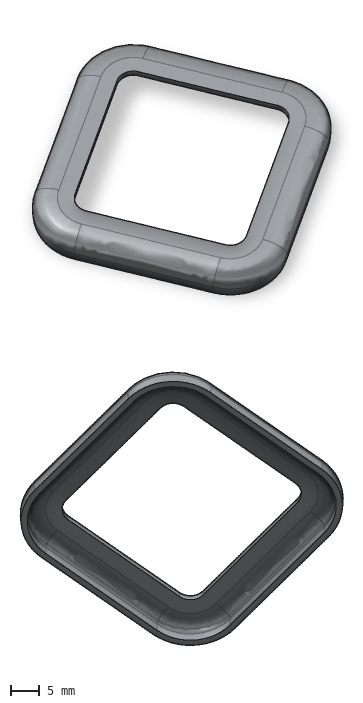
import cadquery as cq
import math

LENGTH_X = 45.45
LENGTH_Y = 45.6
HEIGHT = 4.85
RIM_WIDTH = 7.25

OPENING_X = LENGTH_X - 2 * RIM_WIDTH
OPENING_Y = LENGTH_Y - 2 * RIM_WIDTH
OPENING_RADIUS = 2.9
STRAIGHT_X = OPENING_X / 2 - OPENING_RADIUS
STRAIGHT_Y = OPENING_Y / 2 - OPENING_RADIUS

WALL = 1.25
SHOULDER_WIDTH = 4.35
SHOULDER_HEIGHT = 2.9
WAIST_HEIGHT = HEIGHT - SHOULDER_HEIGHT
FOOT_INSET = 0.15


def shoulder_midpoint(x_start, width, height):
    """Middle of a shoulder ellipse that starts at x_start and leans outward towards -X."""
    diagonal = math.radians(45)
    return (x_start - width * math.cos(diagonal), WAIST_HEIGHT + height * math.sin(diagonal))


def opening_path():
    """Closed rounded square around the opening, starting at the -Y end of the -X side."""
    half_x = OPENING_X / 2
    half_y = OPENING_Y / 2
    return (
        cq.Workplane("XY")
        .moveTo(-half_x, -STRAIGHT_Y)
        .lineTo(-half_x, STRAIGHT_Y)
        .tangentArcPoint((-STRAIGHT_X, half_y), relative=False)
        .lineTo(STRAIGHT_X, half_y)
        .tangentArcPoint((half_x, STRAIGHT_Y), relative=False)
        .lineTo(half_x, -STRAIGHT_Y)
        .tangentArcPoint((STRAIGHT_X, -half_y), relative=False)
        .lineTo(-STRAIGHT_X, -half_y)
        .tangentArcPoint((-half_x, -STRAIGHT_Y), relative=False)
        .wire()
    )


def rim_section():
    """Section at the -Y end of the -X side: a lip at the opening that curves down into the outer wall."""
    opening_edge = -OPENING_X / 2
    outer_edge = -LENGTH_X / 2
    inner_wall = outer_edge + WALL
    shoulder_start = outer_edge + SHOULDER_WIDTH
    lip_underside = HEIGHT - WALL
    outer_mid = shoulder_midpoint(shoulder_start, SHOULDER_WIDTH, SHOULDER_HEIGHT)
    inner_mid = shoulder_midpoint(shoulder_start, SHOULDER_WIDTH - WALL, SHOULDER_HEIGHT - WALL)
    outward = (-1, 0)
    inward = (1, 0)
    down = (0, -1)
    up = (0, 1)
    return (
        cq.Workplane("XZ", origin=(0, -STRAIGHT_Y, 0))
        .moveTo(opening_edge, lip_underside)
        .lineTo(opening_edge, HEIGHT)
        .lineTo(shoulder_start, HEIGHT)
        .spline([outer_mid, (outer_edge, WAIST_HEIGHT)], tangents=[outward, down], includeCurrent=True)
        .tangentArcPoint((outer_edge + FOOT_INSET, 0), relative=False)
        .lineTo(inner_wall, 0)
        .lineTo(inner_wall, WAIST_HEIGHT)
        .spline([inner_mid, (shoulder_start, lip_underside)], tangents=[up, inward], includeCurrent=True)
        .close()
    )


frame = rim_section().sweep(opening_path())

result = cq.Compound.makeCompound([frame.val()])